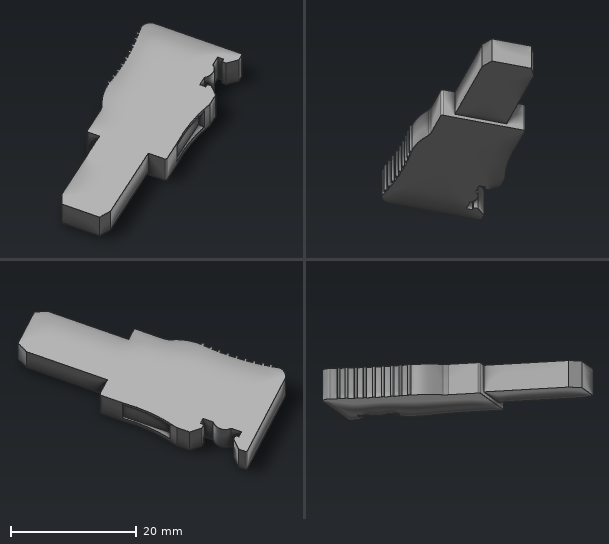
import cadquery as cq
import math


body_thickness = 5.0
body_top = 26.05
body_left = -6.65
body_right = 7.5
head_left = -8.6
head_right = 8.55
head_corner_radius = 1.7
small_corner_radius = 0.35

tab_length = 15.95
tab_width = 8.65
tab_thickness = 4.35
tab_chamfer_length = 1.95
tab_chamfer_width = 1.0

grip_radius = 41.15
grip_middle_y = 15.75
grip_deepest_x = -7.73
grip_top_y = body_top - head_corner_radius
grip_bottom_y = 11.15

bulge_middle = (-7.73, 8.4)
bulge_end = (-6.8, 6.1)
blend_end_y = 5.25

rib_heights = (22.97, 21.7, 20.25, 18.77, 17.25, 15.75, 14.25, 12.8, 11.3)
rib_width = 0.45
rib_projection = 0.38
rib_tip_radius = 0.13

waist_radius = 27.3
waist_middle_y = 6.1
waist_deepest_x = 7.45
waist_top_y = 13.95
waist_bottom_y = 4.0

notch_middle_y = 20.35
notch_floor_x = 5.3
notch_half_width = 3.3
lip_inner_x = 6.3
lip_half_gap = 2.75
mouth_half_width = 4.25
lip_outer_x = head_right - (mouth_half_width - lip_half_gap)
bump_half_width = 1.55
bump_height = 0.75

recess_floor_x = 7.15
recess_top_y = 12.6
recess_bottom_y = waist_bottom_y
recess_upper_z = -0.55
recess_height = 3.7


def arc_drop(radius, offset):
    """Distance an arc falls away from its tangent at a given offset from the touching point."""
    return radius - math.sqrt(radius**2 - offset**2)


def grip_point(y):
    return (grip_deepest_x - arc_drop(grip_radius, y - grip_middle_y), y)


def waist_point(y):
    return (waist_deepest_x + arc_drop(waist_radius, y - waist_middle_y), y)


def make_body():
    corner_mid = head_corner_radius * (1 - math.sqrt(0.5))
    outline = (
        cq.Workplane("XY")
        .moveTo(body_left, 0)
        .lineTo(body_right, 0)
        .lineTo(*waist_point(waist_bottom_y))
        .threePointArc(waist_point(waist_middle_y), waist_point(waist_top_y))
        .lineTo(head_right, waist_top_y)
        .lineTo(head_right, body_top)
        .lineTo(head_left + head_corner_radius, body_top)
        .threePointArc(
            (head_left + corner_mid, body_top - corner_mid),
            grip_point(grip_top_y),
        )
        .threePointArc(grip_point(grip_middle_y), grip_point(grip_bottom_y))
        .threePointArc(bulge_middle, bulge_end)
        .lineTo(body_left, blend_end_y)
        .close()
    )
    body = outline.extrude(-body_thickness)
    corners = [(body_left, 0), (body_right, 0), (head_right, body_top)]
    for corner in corners:
        edge = cq.selectors.NearestToPointSelector((*corner, -body_thickness / 2))
        body = body.edges("|Z").edges(edge).fillet(small_corner_radius)
    return body


def make_tab():
    overlap = 0.4
    side = tab_width / 2
    tip = side - tab_chamfer_width
    chamfer_y = tab_chamfer_length - tab_length
    outline = [
        (-side, overlap),
        (-side, chamfer_y),
        (-tip, -tab_length),
        (tip, -tab_length),
        (side, chamfer_y),
        (side, overlap),
    ]
    return cq.Workplane("XY").polyline(outline).close().extrude(-tab_thickness)


def make_rib(y):
    rib = (
        cq.Workplane("XY")
        .box(2 * rib_projection, rib_width, body_thickness)
        .edges("<X and |Z")
        .fillet(rib_tip_radius)
    )
    tilt = math.degrees(math.asin((y - grip_middle_y) / grip_radius))
    x, _ = grip_point(y)
    return rib.rotate((0, 0, 0), (0, 0, 1), tilt).translate((x, y, -body_thickness / 2))


def make_notch():
    clearance = 0.4
    outside = head_right + clearance
    outline = (
        cq.Workplane("XY", origin=(0, notch_middle_y, 0))
        .moveTo(outside, mouth_half_width + clearance)
        .lineTo(lip_outer_x, lip_half_gap)
        .lineTo(lip_inner_x, lip_half_gap)
        .lineTo(lip_inner_x, notch_half_width)
        .lineTo(notch_floor_x, notch_half_width)
        .lineTo(notch_floor_x, bump_half_width)
        .threePointArc((notch_floor_x + bump_height, 0), (notch_floor_x, -bump_half_width))
        .lineTo(notch_floor_x, -notch_half_width)
        .lineTo(lip_inner_x, -notch_half_width)
        .lineTo(lip_inner_x, -lip_half_gap)
        .lineTo(lip_outer_x, -lip_half_gap)
        .lineTo(outside, -mouth_half_width - clearance)
        .close()
    )
    return outline.extrude(-body_thickness)


def make_recess():
    depth = head_right - recess_floor_x
    length = recess_top_y - recess_bottom_y
    return (
        cq.Workplane("XY")
        .box(depth, length, recess_height, centered=False)
        .translate((recess_floor_x, recess_bottom_y, recess_upper_z - recess_height))
    )


part = make_body().union(make_tab())
for rib_y in rib_heights:
    part = part.union(make_rib(rib_y))
result = part.cut(make_notch()).cut(make_recess())